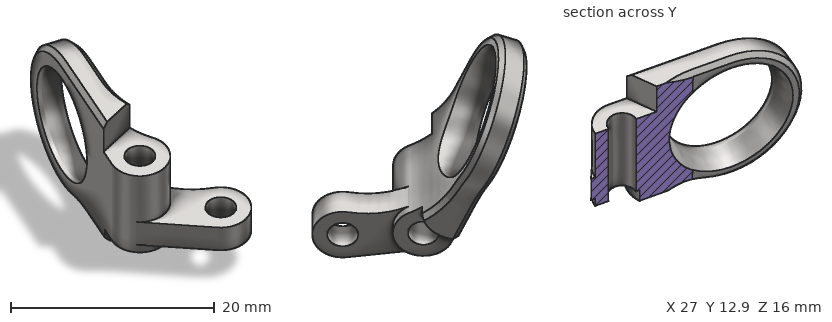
import cadquery as cq
import math

length = 27.0
thickness = 3.0
ring_diameter = 16.0
ring_radius = ring_diameter / 2
ring_hole_radius = 6.0
ring_hole_land = 0.5
ring_hole_flare = math.radians(18)
plate_bottom_z = -7.0
bottom_blend_radius = 10.0
edge_chamfer = 0.5

barrel_radius = thickness
pin_hole_radius = 1.5
barrel_bottom_z = -5.5
barrel_top_z = 4.5
arm_length = 8.0
arm_angle = math.radians(60)
arm_bottom_z = -4.5
arm_top_z = -1.5

back_curve_start_x = 4.0
upper_end_x = 10.0
lower_end_front_x = 10.25
lower_end_crest = (10.5, 1.32)
lower_end_back_x = 8.88

arm_run = arm_length * math.cos(arm_angle)
arm_rise = arm_length * math.sin(arm_angle)
hinge = (length - ring_radius - barrel_radius - arm_run, thickness)
arm_tip = (hinge[0] + arm_run, hinge[1] + arm_rise)

tip_offset = arm_tip[0] - back_curve_start_x
back_radius = (tip_offset**2 + arm_rise**2 - barrel_radius**2) / (2 * (arm_rise + barrel_radius))
back_center = (back_curve_start_x, thickness + back_radius)


def polar(center, radius, angle):
    """Point at the given angle on a circle."""
    return (center[0] + radius * math.cos(angle), center[1] + radius * math.sin(angle))


def direction(start, end):
    """Angle of the line from one point to another."""
    return math.atan2(end[1] - start[1], end[0] - start[0])


def back_curve_arc(profile, start, end):
    """Extend a profile along the back curve from start to end."""
    middle_angle = (direction(back_center, start) + direction(back_center, end)) / 2
    return profile.threePointArc(polar(back_center, back_radius, middle_angle), end)


def level(z):
    return cq.Workplane("XY").workplane(offset=z)


back_curve_start = (back_curve_start_x, thickness)
hinge_contact = polar(back_center, back_radius, direction(back_center, hinge))
tip_contact = polar(back_center, back_radius, direction(back_center, arm_tip))


def make_plate_blank():
    """Ring outline with a bottom blend, cut to the back curve and chamfered front and back."""
    blend_center_z = plate_bottom_z - bottom_blend_radius
    blend_x = math.sqrt((ring_radius + bottom_blend_radius)**2 - blend_center_z**2)
    blend_center = (blend_x, blend_center_z)
    blend_angle = direction(blend_center, (0, 0))
    blend_start = polar(blend_center, bottom_blend_radius, blend_angle)
    blend_middle = polar(blend_center, bottom_blend_radius, (blend_angle + math.pi / 2) / 2)
    outline = (
        cq.Workplane("XZ")
        .moveTo(hinge[0], ring_radius)
        .lineTo(0, ring_radius)
        .threePointArc((-ring_radius, 0), blend_start)
        .threePointArc(blend_middle, (blend_x, plate_bottom_z))
        .lineTo(hinge[0], plate_bottom_z)
        .close()
        .extrude(-arm_tip[1])
    )
    side = level(-ring_radius).moveTo(-ring_radius, 0).lineTo(-ring_radius, thickness)
    side = side.lineTo(*back_curve_start)
    side = back_curve_arc(side, back_curve_start, hinge_contact)
    side = side.lineTo(*hinge).lineTo(hinge[0], 0).close().extrude(ring_diameter)
    blank = outline.intersect(side)
    blank = blank.faces("<Y").edges("not >X").chamfer(edge_chamfer)
    behind = cq.selectors.BoxSelector(
        (-length, thickness - edge_chamfer / 2, -length),
        (hinge_contact[0], length, length),
    )
    return blank.edges(behind).edges("not |Z").chamfer(edge_chamfer)


def upper_end_cut():
    """Space above the barrel, beyond an end face sloping along the bisector of plate and arm."""
    slope_run = arm_tip[1] / math.tan(arm_angle)
    return (
        level(barrel_top_z)
        .moveTo(upper_end_x, 0)
        .lineTo(upper_end_x - slope_run, arm_tip[1])
        .lineTo(*arm_tip)
        .lineTo(arm_tip[0], 0)
        .close()
        .extrude(ring_radius - barrel_top_z)
    )


def lower_end_cut():
    """Space below the barrel, beyond a rounded end face."""
    back_angle = math.acos((lower_end_back_x - back_center[0]) / back_radius)
    lower_end_back = polar(back_center, back_radius, -back_angle)
    return (
        level(-ring_radius)
        .moveTo(lower_end_front_x, 0)
        .threePointArc(lower_end_crest, lower_end_back)
        .lineTo(lower_end_back[0], arm_tip[1])
        .lineTo(*arm_tip)
        .lineTo(arm_tip[0], 0)
        .close()
        .extrude(barrel_bottom_z + ring_radius)
    )


def make_barrel():
    return (
        level(barrel_bottom_z)
        .center(*hinge)
        .circle(barrel_radius)
        .extrude(barrel_top_z - barrel_bottom_z)
    )


def make_arm():
    """Thin arm from the barrel to its round tip, concave on the side facing the ring."""
    outer_side = arm_angle - math.pi / 2
    profile = (
        level(arm_bottom_z)
        .moveTo(*hinge)
        .lineTo(*polar(hinge, barrel_radius, outer_side))
        .lineTo(*polar(arm_tip, barrel_radius, outer_side))
        .threePointArc(polar(arm_tip, barrel_radius, arm_angle), tip_contact)
    )
    profile = back_curve_arc(profile, tip_contact, hinge_contact)
    return profile.close().extrude(arm_top_z - arm_bottom_z)


def cut_holes(body):
    """Ring opening along Y, flaring behind a short straight land, and the two pin holes along Z."""
    flare_end_radius = ring_hole_radius + (arm_tip[1] - ring_hole_land) * math.tan(ring_hole_flare)
    ring_hole = (
        cq.Workplane("XY")
        .lineTo(ring_hole_radius, 0)
        .lineTo(ring_hole_radius, ring_hole_land)
        .lineTo(flare_end_radius, arm_tip[1])
        .lineTo(0, arm_tip[1])
        .close()
        .revolve(360, (0, 0, 0), (0, 1, 0))
    )
    pin_holes = level(-ring_radius).pushPoints([hinge, arm_tip]).circle(pin_hole_radius).extrude(ring_diameter)
    return body.cut(ring_hole).cut(pin_holes)


plate = make_plate_blank().cut(upper_end_cut()).cut(lower_end_cut())
result = cut_holes(plate.union(make_barrel()).union(make_arm()))